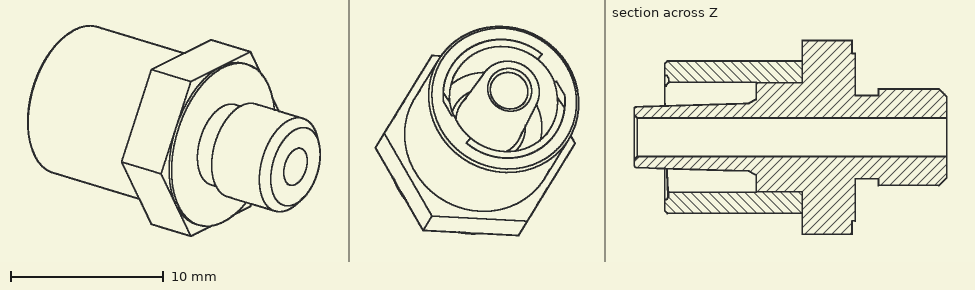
import cadquery as cq
import math

sleeve_start = 2.0
luer_base = 7.5
hex_start = 11.0
hex_end = 14.29
collar_end = 14.5
thread_start = 16.01
total_length = 20.5

hole_diameter = 2.5
hole_mouth_diameter = 2.93
tip_diameter = 4.0
tip_fillet = 0.18
luer_taper = 0.06
flare_diameter = 5.0
flare_length = 0.5
across_flats = 11.0
neck_diameter = 5.5
thread_diameter = 6.35
thread_chamfer = 0.53

sleeve_diameter = 10.0
sleeve_bore = 7.2
sleeve_chamfer = 0.18

ramp_count = 2
ramp_diameter = 8.12
ramp_start_angle = 51.6
ramp_depth = 0.29
ramp_sweep = 150.0
ramp_inward_fall = 0.02
wall_angle = 127.0
wall_skew = 58.0
wall_run = 0.45


def cylinder(diameter, start, end):
    return cq.Workplane("YZ", origin=(start, 0, 0)).circle(diameter / 2).extrude(end - start)


def make_core():
    base_radius = (tip_diameter + luer_taper * luer_base) / 2
    flare_radius = flare_diameter / 2
    shank_start = luer_base + flare_length
    hole_radius = hole_diameter / 2
    mouth_radius = hole_mouth_diameter / 2
    mouth_depth = mouth_radius - hole_radius

    cone = (
        cq.Workplane("XY")
        .polyline([
            (0, 0),
            (0, tip_diameter / 2),
            (luer_base, base_radius),
            (shank_start, flare_radius),
            (shank_start, 0),
        ])
        .close()
        .revolve(360, (0, 0, 0), (1, 0, 0))
        .faces("<X").edges().fillet(tip_fillet)
    )
    shank = cylinder(sleeve_bore, shank_start, hex_start)
    hexagon = (
        cq.Workplane("YZ", origin=(hex_start, 0, 0))
        .polygon(6, across_flats / math.cos(math.pi / 6))
        .extrude(hex_end - hex_start)
    )
    collar = cylinder(across_flats, hex_end, collar_end)
    neck = cylinder(neck_diameter, collar_end, thread_start)
    thread = cylinder(thread_diameter, thread_start, total_length).faces(">X").chamfer(thread_chamfer)
    body = cone.union(shank).union(hexagon).union(collar).union(neck).union(thread)

    bore = cylinder(hole_diameter, 0, total_length)
    mouth = cq.Workplane("YZ").circle(mouth_radius).workplane(offset=mouth_depth).circle(hole_radius).loft()
    return body.cut(bore).cut(mouth)


def make_ramp():
    """Helical ramp sinking from the sleeve face, with a sloped wall rising at its deep end."""
    inner_radius = (flare_diameter + sleeve_bore) / 4
    outer_radius = ramp_diameter / 2
    lip_radius = (sleeve_bore + ramp_diameter) / 4
    fall_slope = ramp_inward_fall / ((ramp_diameter - sleeve_bore) / 2)
    inner_fall = fall_slope * (outer_radius - inner_radius)
    clearance = 3 * ramp_depth
    pitch = ramp_depth * 360 / ramp_sweep
    path = cq.Wire.makeHelix(pitch, ramp_depth, outer_radius)
    ramp = (
        cq.Workplane("XZ")
        .moveTo(inner_radius, -clearance)
        .lineTo(outer_radius, -clearance)
        .lineTo(outer_radius, 0)
        .lineTo(inner_radius, inner_fall)
        .close()
        .sweep(cq.Workplane(path), isFrenet=True)
    )
    reach = outer_radius / 2
    end_block = (
        cq.Workplane("YZ")
        .polyline([
            (0, ramp_depth),
            (wall_run, 0),
            (wall_run, -clearance),
            (reach, -clearance),
            (reach, clearance),
            (0, clearance),
        ])
        .close()
        .extrude(reach, both=True)
        .rotate((0, 0, 0), (0, 0, 1), -wall_skew)
        .translate((lip_radius, 0, 0))
        .rotate((0, 0, 0), (0, 0, 1), wall_angle)
    )
    ramp = ramp.cut(end_block)
    ramp = ramp.rotate((0, 0, 0), (0, 0, 1), ramp_start_angle)
    on_axis = ramp.rotate((0, 0, 0), (0, 1, 0), 90).rotate((0, 0, 0), (1, 0, 0), 90)
    return on_axis.mirror("XZ").translate((sleeve_start, 0, 0))


def make_sleeve():
    sleeve = cylinder(sleeve_diameter, sleeve_start, hex_start).faces("<X").chamfer(sleeve_chamfer)
    sleeve = sleeve.cut(cylinder(sleeve_bore, sleeve_start, hex_start))
    ramp = make_ramp()
    for index in range(ramp_count):
        sleeve = sleeve.cut(ramp.rotate((0, 0, 0), (1, 0, 0), index * 360 / ramp_count))
    return sleeve


core = make_core()
sleeve = make_sleeve()
result = cq.Compound.makeCompound([core.val(), sleeve.val()])